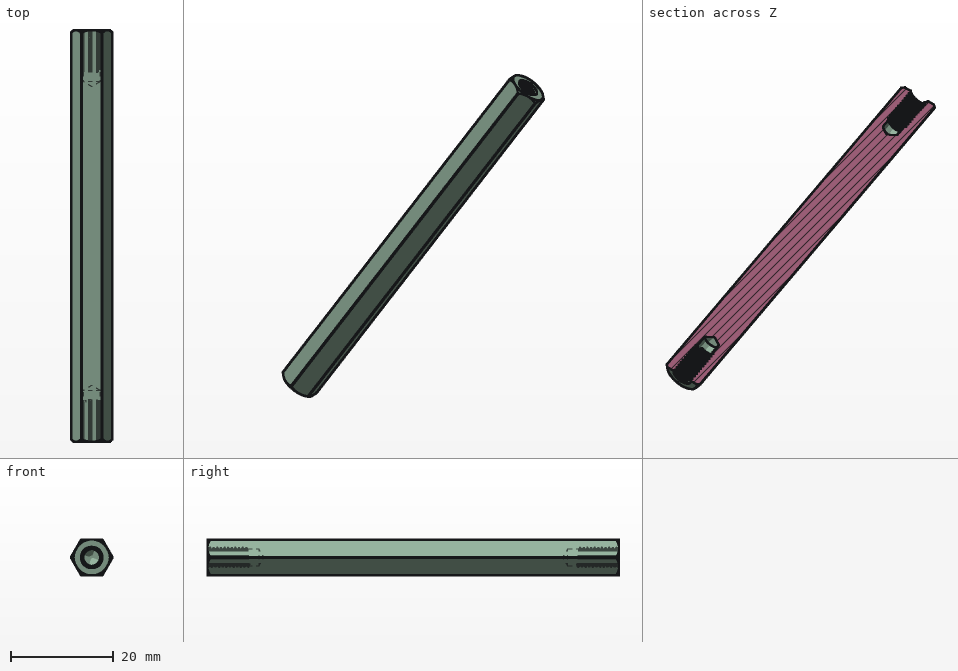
import cadquery as cq
import math

length = 80.0

blank_diameter = 8.0
end_chamfer = 0.5

across_flats = blank_diameter - 2 * end_chamfer
across_corners = across_flats / math.cos(math.radians(30))

thread_diameter = 4.0
thread_pitch = 0.7
core_diameter = 3.3
hole_depth = 10.0
thread_depth = 8.0
drill_point_angle = 118.0
mouth_diameter = 4.2
mouth_depth = 0.6

root_width = 0.09
flank_angle = 30.0
groove_overlap = 0.1


def hex_bar():
    """Hexagon with corners at +X and -X, cut from a round blank with chamfered ends."""
    bar = cq.Workplane("XZ").polygon(6, across_corners).extrude(length / 2, both=True)
    blank = (
        cq.Workplane("XZ")
        .circle(blank_diameter / 2)
        .extrude(length / 2, both=True)
        .faces("<Y or >Y")
        .chamfer(end_chamfer)
    )
    return bar.intersect(blank)


def drilled_hole():
    """Countersunk core hole with a conical bottom, running along +Z from the origin."""
    core_radius = core_diameter / 2
    mouth_radius = mouth_diameter / 2
    point_length = core_radius / math.tan(math.radians(drill_point_angle / 2))
    return (
        cq.Workplane("XZ")
        .moveTo(0, 0)
        .lineTo(mouth_radius, 0)
        .lineTo(core_radius, mouth_depth)
        .lineTo(core_radius, hole_depth)
        .lineTo(0, hole_depth + point_length)
        .close()
        .revolve(360, (0, 0, 0), (0, 1, 0))
    )


def thread_groove():
    """Helical groove between core and thread diameter, running along +Z from one pitch outside."""
    inner_radius = core_diameter / 2 - groove_overlap
    root_radius = thread_diameter / 2
    half_root = root_width / 2
    half_mouth = half_root + (root_radius - inner_radius) * math.tan(math.radians(flank_angle))
    helix = cq.Wire.makeHelix(thread_pitch, thread_depth + thread_pitch, core_diameter / 2)
    groove = (
        cq.Workplane("XZ")
        .moveTo(inner_radius, -half_mouth)
        .lineTo(root_radius, -half_root)
        .lineTo(root_radius, half_root)
        .lineTo(inner_radius, half_mouth)
        .close()
        .sweep(cq.Workplane(obj=helix), isFrenet=True)
    )
    return groove.translate((0, 0, -thread_pitch))


def place_at_end(tool, turn):
    """Lay a +Z tool along +Y from the -Y end, then turn it about Z to the wanted end."""
    laid = tool.rotate((0, 0, 0), (1, 0, 0), -90).translate((0, -length / 2, 0))
    return laid.rotate((0, 0, 0), (0, 0, 1), turn)


result = hex_bar()
for end_turn in (0, 180):
    result = result.cut(place_at_end(drilled_hole(), end_turn))
    result = result.cut(place_at_end(thread_groove(), end_turn))
result = result.solids()